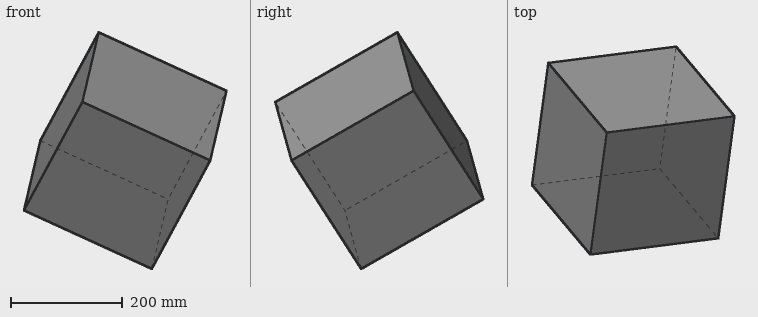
import cadquery as cq
import math

overall_height = 424.5
tilt = math.radians(40.0)
axis_heading = math.radians(40.0)

rise_per_side = math.cos(tilt) + math.sin(tilt) * (math.sin(axis_heading) + math.cos(axis_heading))
cube_side = overall_height / rise_per_side

tilt_axis = (math.cos(axis_heading), math.sin(axis_heading), 0)

cube = cq.Workplane("XY").box(cube_side, cube_side, cube_side)
result = cube.rotate((0, 0, 0), tilt_axis, math.degrees(tilt))